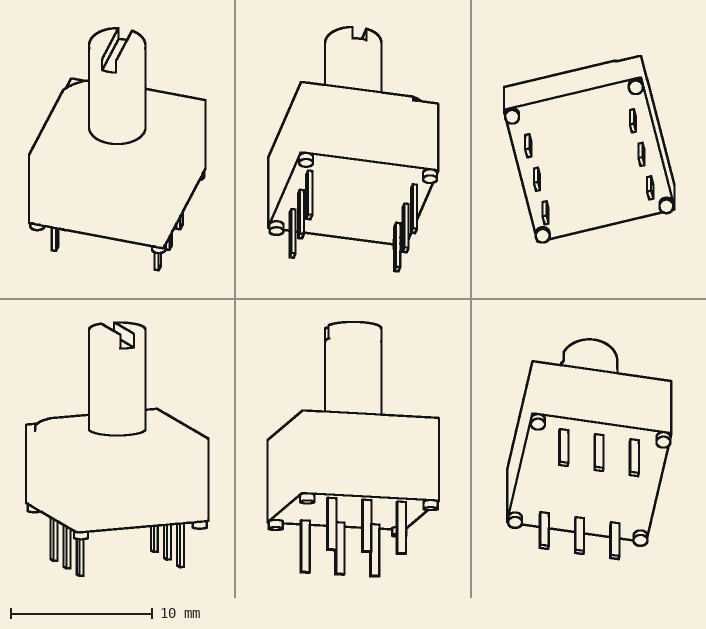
import cadquery as cq

body_side = 10.0
body_height = 6.0
edge_radius = 0.1

step_radius = 3.5
step_center_offset = 1.77
corner_zone = 2.55
step_depth = 0.3

shaft_diameter = 4.0
slot_width = 1.0
slot_depth = 1.0

foot_diameter = 1.0
foot_height = 0.51

pin_thickness = 0.3
pin_width = 0.61
pin_length = 3.7
pin_pitch = 2.53
row_spacing = 3 * pin_pitch
pins_per_row = 3

total_height = 17
shaft_height = total_height - body_height - pin_length
body_half = body_side / 2


def make_block(height):
    """Square block with rounded vertical and top edges."""
    block = cq.Workplane("XY").box(body_side, body_side, height, centered=(True, True, False))
    return block.edges("|Z or >Z").fillet(edge_radius)


def make_housing():
    """Lower block plus a raised top whose -X, +Y corner is rounded away."""
    step_level = body_height - step_depth
    lower_block = make_block(step_level)
    rounded_corner = (
        cq.Workplane("XY")
        .center(-step_center_offset, step_center_offset)
        .circle(step_radius)
        .extrude(body_height)
        .faces(">Z")
        .edges()
        .fillet(edge_radius)
    )
    zone_center = body_half - corner_zone / 2
    outside_zone = (
        cq.Workplane("XY")
        .rect(body_side, body_side)
        .extrude(body_height)
        .cut(
            cq.Workplane("XY")
            .center(-zone_center, zone_center)
            .rect(corner_zone, corner_zone)
            .extrude(body_height)
        )
    )
    upper_block = make_block(body_height).intersect(rounded_corner.union(outside_zone))
    return lower_block.union(upper_block)


def make_shaft():
    """Vertical shaft with a screwdriver slot along Y across its rounded top."""
    shaft = (
        cq.Workplane("XY", origin=(0, 0, body_height))
        .circle(shaft_diameter / 2)
        .extrude(shaft_height)
        .faces(">Z")
        .edges()
        .fillet(edge_radius)
    )
    slot = (
        cq.Workplane("XY", origin=(0, 0, body_height + shaft_height))
        .rect(slot_width, shaft_diameter)
        .extrude(-slot_depth)
    )
    return shaft.cut(slot)


def make_feet():
    """Four round feet under the housing corners."""
    foot_spacing = body_side - foot_diameter
    return (
        cq.Workplane("XY")
        .rect(foot_spacing, foot_spacing, forConstruction=True)
        .vertices()
        .circle(foot_diameter / 2)
        .extrude(-foot_height)
    )


def make_pins():
    """Flat pins in two rows parallel to Y."""
    return (
        cq.Workplane("XY")
        .rarray(row_spacing, pin_pitch, 2, pins_per_row)
        .rect(pin_thickness, pin_width)
        .extrude(-pin_length)
    )


result = make_housing().union(make_shaft()).union(make_feet()).union(make_pins())